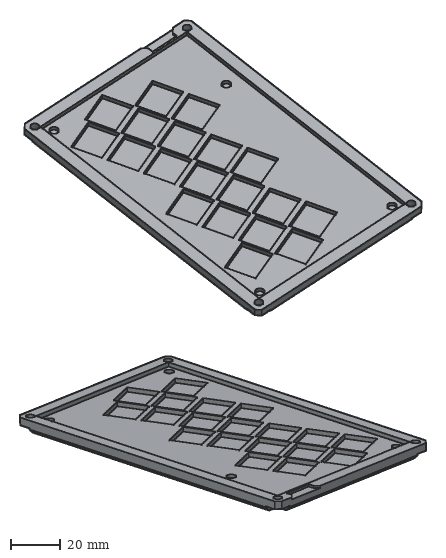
import cadquery as cq

length = 142.8
width = 91.2
height = 5.9
corner_chamfer = 2.0
bottom_bevel = 2.0

rim = 5.5
pocket_depth = 1.9
floor_z = height - pocket_depth

screw_dia = 3.5
screw_edge_gap = 2.1
screw_inset = screw_edge_gap + screw_dia / 2
relief_side = 6.9
relief_height = 2.4

peg_dia = 4.0
peg_depth = 1.7
peg_inset = 3.9
peg_x = length / 2 - rim - peg_inset
peg_y = width / 2 - rim - peg_inset
offset_peg_x = -34.4
offset_peg_y = 33.1

notch_y = 28.8
notch_width = 13.3
notch_length = 4.5
notch_flare = 2.0
notch_depth = 1.0

key_width = 14.0
key_height = 15.5
key_depth = 2.0
first_key_x = -46.7
first_key_y = 7.5
column_step_x = 15.4
column_step_y = 5.9
row_step_x = column_step_x / 2
level_columns = 5
level_rows = 2
row_step_y = -column_step_y * level_columns / level_rows
key_tilt = 21.0
key_rows = {
    -1: range(1, 3),
    0: range(0, 3),
    1: range(0, 3),
    2: range(1, 4),
    3: range(1, 4),
    4: range(2, 5),
    5: range(2, 4),
}


def make_plate():
    plate = cq.Workplane("XY").box(length, width, height, centered=(True, True, False))
    plate = plate.edges("|Z").chamfer(corner_chamfer)
    return plate.faces("<Z").chamfer(bottom_bevel)


def make_pocket():
    pocket = cq.Workplane("XY", origin=(0, 0, floor_z))
    return pocket.rect(length - 2 * rim, width - 2 * rim).extrude(pocket_depth)


def plate_corners(inset):
    """Four points set in from the corners of the plate by the same distance in X and Y."""
    plane = cq.Workplane("XY")
    return plane.rect(length - 2 * inset, width - 2 * inset, forConstruction=True).vertices()


def make_screw_holes():
    return plate_corners(screw_inset).circle(screw_dia / 2).extrude(height)


def make_corner_reliefs():
    return plate_corners(relief_side / 2).rect(relief_side, relief_side).extrude(relief_height)


def make_peg_holes():
    places = [
        (-peg_x, -peg_y),
        (peg_x, -peg_y),
        (peg_x, peg_y),
        (offset_peg_x, offset_peg_y),
    ]
    floor = cq.Workplane("XY", origin=(0, 0, floor_z))
    return floor.pushPoints(places).circle(peg_dia / 2).extrude(-peg_depth)


def make_notch():
    outer_x = -length / 2
    half = notch_width / 2
    points = [
        (outer_x, -half - notch_flare),
        (outer_x + notch_flare, -half),
        (outer_x + notch_length, -half),
        (outer_x + notch_length, half),
        (outer_x + notch_flare, half),
        (outer_x, half + notch_flare),
    ]
    plane = cq.Workplane("XY", origin=(0, notch_y, height))
    return plane.polyline(points).close().extrude(-notch_depth)


def make_key_recesses():
    places = []
    for column, rows in key_rows.items():
        for row in rows:
            x = first_key_x + column * column_step_x + row * row_step_x
            y = first_key_y + column * column_step_y + row * row_step_y
            places.append((x, y))
    floor = cq.Workplane("XY", origin=(0, 0, floor_z)).pushPoints(places)
    key = cq.Workplane("XY").rect(key_width, key_height).extrude(-key_depth)
    key = key.rotate((0, 0, 0), (0, 0, 1), key_tilt).val()
    return floor.eachpoint(lambda place: key.moved(place))


result = make_plate()
result = result.cut(make_corner_reliefs())
result = result.cut(make_pocket())
result = result.cut(make_screw_holes())
result = result.cut(make_peg_holes())
result = result.cut(make_notch())
result = result.cut(make_key_recesses())